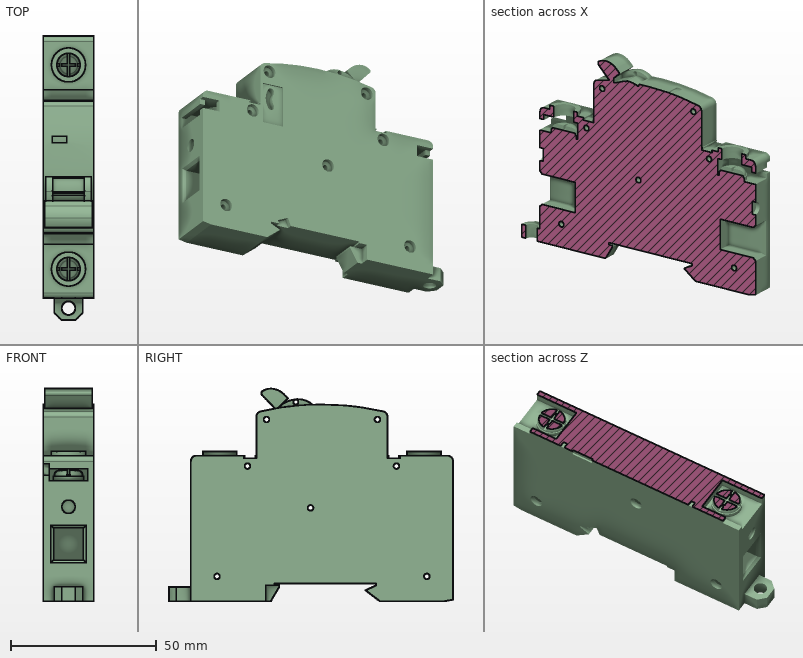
import cadquery as cq
import math


WIDTH = 17.5
TOTAL_LENGTH = 97.5
BODY_LENGTH = 90.0
SHOULDER_HEIGHT = 50.0
DOME_WIDTH = 45.0
CROWN_HEIGHT = 67.6
DOME_EDGE_HEIGHT = 64.8
CORNER_RADIUS = 1.95
GROOVE_WIDTH = 4.3
GROOVE_DEPTH = 0.9
GROOVE_LIP = 0.4
HALF_WIDTH = WIDTH / 2
HALF_LENGTH = BODY_LENGTH / 2
HALF_DOME = DOME_WIDTH / 2

RAIL_CEILING = 6.1
RAIL_BACK = 18.5
RAIL_FRONT = -16.2
LEDGE_HEIGHT = 5.6
CLIP_RECESS_END = -19.2
HOOK_FOOT = 19.9
HOOK_TIP = 14.9
HOOK_TIP_HEIGHT = 3.8
HEEL_LENGTH = 3.1
HEEL_RISE = 0.6

CLIP_WIDTH = 9.8
CLIP_NOSE = -14.6
CLIP_NOSE_HEIGHT = 5.0
CLIP_FOOT = -17.55
TAB_HEIGHT = 5.0
TAB_CHAMFER = 2.5
TAB_HOLE_DIAMETER = 4.6
TAB_HOLE_OFFSET = 3.4

TERMINAL_OFFSET = 35.0
COLLAR_DIAMETER = 11.7
COLLAR_HEIGHT = 1.5
ACCESS_DIAMETER = 8.0
WINDOW_WIDTH = 13.4
WINDOW_BOTTOM = 41.4
WINDOW_TOP = 45.4
END_WALL = 1.9
CHAMBER_TOP = 47.3
CHAMBER_END = 29.25
NOTCH_LENGTH = 6.3
NOTCH_BOTTOM = 43.2
TEST_HOLE_DIAMETER = 4.6
TEST_HOLE_HEIGHT = 32.5
TEST_HOLE_DEPTH = 1.5
WIRE_MOUTH_WIDTH = 12.2
WIRE_MOUTH_HEIGHT = 13.0
WIRE_MOUTH_CENTRE = 19.7
WIRE_MOUTH_TAPER = 1.0
WIRE_DEPTH = 14.6

SCREW_FLANGE_DIAMETER = 10.5
SCREW_FLANGE_HEIGHT = 1.5
SCREW_HEAD_DIAMETER = 9.9
SCREW_HEAD_HEIGHT = 2.0
SCREW_ROUNDING = 1.95
DRIVE_WIDTH = 0.9
DRIVE_DEPTH = 1.5
CROSS_LENGTH = 4.6
RIM_NOTCH_LENGTH = 1.95

RIVET_POINTS = [
    (19.0, 62.4),
    (-19.0, 62.4),
    (25.5, 46.4),
    (-25.5, 46.4),
    (-3.9, 32.1),
    (36.0, 8.6),
    (-36.0, 8.6),
]
RIVET_DIAMETER = 1.9
RIVET_RECESS_DIAMETER = 4.6
RIVET_RECESS_DEPTH = 1.95

PANEL_BACK = 21.5
PANEL_WIDTH = 7.8
PANEL_BOTTOM = 42.9
PANEL_HEIGHT = 14.7
PANEL_DEPTH = 0.6
SLOT_CENTRE_Z = 52.5
SLOT_ARC_Y = 13.7
SLOT_ARC_RADIUS = 5.2
SLOT_WIDTH = 2.5
SLOT_HALF_ANGLE = 32
SLOT_DEPTH = 2.9

POCKET_OUTLINE = [(10.5, 5.85), (11.8, 9.0), (15.7, 7.3), (15.1, 5.85)]
POCKET_DEPTH = 1.95

INDICATOR_X = -3.1
INDICATOR_Y = 9.5
INDICATOR_WIDTH = 4.9
INDICATOR_LENGTH = 2.1
INDICATOR_FLOOR = 66.8

DRUM_Y = -8.4
DRUM_TOP = 69.4
DRUM_BACK = -1.5
DRUM_FRONT = -15.8
DRUM_BASE = 64.9
DRUM_WIDTH = 15.7
HUB_WIDTH = 10.9
HUB_TOP = 67.7
HUB_STEP_Y = -9.1
HUB_STEP_Z = 67.3
HUB_FRONT = -14.1
PIN_Y = -9.0
PIN_Z = 68.3
PIN_DIAMETER = 1.7
LEVER_WIDTH = 16.4
LEVER_TOP = 73.0
LEVER_FOOT = 66.0


def side_sketch(x=0):
    """Workplane whose axes are Y and Z, at the given X."""
    return cq.Workplane("YZ", origin=(x, 0, 0))


def block(x_range, y_range, z_range):
    """Box between two limits on each axis."""
    sizes = [high - low for low, high in (x_range, y_range, z_range)]
    corner = (x_range[0], y_range[0], z_range[0])
    return cq.Workplane("XY", origin=corner).box(*sizes, centered=False)


def centred_prism(outline, width):
    """Prism along X from a (Y, Z) outline, centred on X = 0."""
    return side_sketch().polyline(outline).close().extrude(width / 2, both=True)


def centred_cylinder(y, z, radius, width):
    """Cylinder along X, centred on X = 0."""
    return side_sketch().center(y, z).circle(radius).extrude(width / 2, both=True)


def make_housing():
    profile = (
        side_sketch()
        .moveTo(-HALF_LENGTH, 0)
        .lineTo(-HALF_LENGTH, SHOULDER_HEIGHT)
        .lineTo(-HALF_DOME, SHOULDER_HEIGHT)
        .lineTo(-HALF_DOME, DOME_EDGE_HEIGHT)
        .threePointArc((0, CROWN_HEIGHT), (HALF_DOME, DOME_EDGE_HEIGHT))
        .lineTo(HALF_DOME, SHOULDER_HEIGHT)
        .lineTo(HALF_LENGTH, SHOULDER_HEIGHT)
        .lineTo(HALF_LENGTH, HEEL_RISE)
        .lineTo(HALF_LENGTH - HEEL_LENGTH, 0)
        .lineTo(HOOK_FOOT, 0)
        .lineTo(HOOK_TIP, HOOK_TIP_HEIGHT)
        .lineTo(RAIL_BACK, LEDGE_HEIGHT)
        .lineTo(RAIL_BACK, RAIL_CEILING)
        .lineTo(RAIL_FRONT, RAIL_CEILING)
        .lineTo(RAIL_FRONT, LEDGE_HEIGHT)
        .lineTo(CLIP_RECESS_END, LEDGE_HEIGHT)
        .lineTo(CLIP_RECESS_END, 0)
        .close()
    )
    housing = profile.extrude(HALF_WIDTH, both=True)
    for side in (-1, 1):
        for y, z in ((HALF_LENGTH, SHOULDER_HEIGHT), (HALF_DOME, DOME_EDGE_HEIGHT)):
            corner = cq.selectors.NearestToPointSelector((0, side * y, z))
            housing = housing.edges(corner).fillet(CORNER_RADIUS)
    return housing


def make_dome_groove():
    """Groove across the +Y shoulder at the foot of the dome, narrowed by a lip on each side."""
    floor = SHOULDER_HEIGHT - GROOVE_DEPTH
    groove_end = HALF_DOME + GROOVE_WIDTH
    x_range = (-HALF_WIDTH, HALF_WIDTH)
    wide = block(x_range, (HALF_DOME, groove_end), (floor, SHOULDER_HEIGHT - GROOVE_LIP))
    mouth_range = (HALF_DOME + GROOVE_LIP, groove_end - GROOVE_LIP)
    mouth = block(x_range, mouth_range, (floor, SHOULDER_HEIGHT))
    return wide.union(mouth)


def make_clip():
    nose = centred_prism(
        [
            (CLIP_RECESS_END, 0),
            (CLIP_FOOT, 0),
            (CLIP_NOSE, CLIP_NOSE_HEIGHT),
            (CLIP_NOSE, LEDGE_HEIGHT),
            (CLIP_RECESS_END, LEDGE_HEIGHT),
        ],
        CLIP_WIDTH,
    )
    tab_end = HALF_LENGTH - TOTAL_LENGTH
    tab = (
        block((-CLIP_WIDTH / 2, CLIP_WIDTH / 2), (tab_end, -HALF_LENGTH), (0, TAB_HEIGHT))
        .edges("|Z and <Y")
        .chamfer(TAB_CHAMFER)
    )
    tab_hole = (
        cq.Workplane("XY")
        .center(0, -HALF_LENGTH - TAB_HOLE_OFFSET)
        .circle(TAB_HOLE_DIAMETER / 2)
        .extrude(TAB_HEIGHT)
    )
    return nose.union(tab.cut(tab_hole))


def make_screw():
    """Terminal screw on the chamber floor, with a long slot, a short cross slot and rim notches."""
    head = (
        cq.Workplane("XY", origin=(0, -TERMINAL_OFFSET, WINDOW_BOTTOM))
        .circle(SCREW_FLANGE_DIAMETER / 2)
        .extrude(SCREW_FLANGE_HEIGHT)
        .faces(">Z")
        .workplane()
        .circle(SCREW_HEAD_DIAMETER / 2)
        .extrude(SCREW_HEAD_HEIGHT)
        .faces(">Z")
        .edges()
        .fillet(SCREW_ROUNDING)
    )
    head_top = cq.Workplane(
        "XY", origin=(0, -TERMINAL_OFFSET, WINDOW_BOTTOM + SCREW_FLANGE_HEIGHT + SCREW_HEAD_HEIGHT)
    )
    slot = head_top.rect(DRIVE_WIDTH, SCREW_HEAD_DIAMETER).extrude(-DRIVE_DEPTH)
    cross = head_top.rect(CROSS_LENGTH, DRIVE_WIDTH).extrude(-DRIVE_DEPTH)
    rim_notches = (
        head_top.pushPoints([(-SCREW_HEAD_DIAMETER / 2, 0), (SCREW_HEAD_DIAMETER / 2, 0)])
        .rect(2 * RIM_NOTCH_LENGTH, DRIVE_WIDTH)
        .extrude(-DRIVE_DEPTH)
    )
    return head.cut(slot).cut(cross).cut(rim_notches)


def make_collar():
    return (
        cq.Workplane("XY", origin=(0, -TERMINAL_OFFSET, SHOULDER_HEIGHT))
        .circle(COLLAR_DIAMETER / 2)
        .extrude(COLLAR_HEIGHT)
    )


def make_terminal_cavities():
    """Everything removed from the -Y end of the housing for its terminal."""
    half_window = WINDOW_WIDTH / 2
    window_range = (-half_window, half_window)
    window = block(window_range, (-HALF_LENGTH, -CHAMBER_END), (WINDOW_BOTTOM, WINDOW_TOP))
    chamber = block(
        window_range, (-HALF_LENGTH + END_WALL, -CHAMBER_END), (WINDOW_BOTTOM, CHAMBER_TOP)
    )
    notch = block(
        (-HALF_WIDTH, -half_window),
        (-HALF_LENGTH, -HALF_LENGTH + NOTCH_LENGTH),
        (NOTCH_BOTTOM, CHAMBER_TOP),
    )
    access = (
        cq.Workplane("XY", origin=(0, -TERMINAL_OFFSET, WINDOW_TOP))
        .circle(ACCESS_DIAMETER / 2)
        .extrude(SHOULDER_HEIGHT + COLLAR_HEIGHT - WINDOW_TOP)
    )
    end_face = cq.Workplane("XZ", origin=(0, -HALF_LENGTH, 0))
    test_hole = (
        end_face.center(0, TEST_HOLE_HEIGHT)
        .circle(TEST_HOLE_DIAMETER / 2)
        .extrude(-TEST_HOLE_DEPTH)
    )
    wire_centre = end_face.center(0, WIRE_MOUTH_CENTRE)
    inner_width = WIRE_MOUTH_WIDTH - 2 * WIRE_MOUTH_TAPER
    inner_height = WIRE_MOUTH_HEIGHT - 2 * WIRE_MOUTH_TAPER
    mouth = (
        wire_centre.rect(WIRE_MOUTH_WIDTH, WIRE_MOUTH_HEIGHT)
        .workplane(offset=-WIRE_MOUTH_TAPER)
        .rect(inner_width, inner_height)
        .loft()
    )
    wire_hole = wire_centre.rect(inner_width, inner_height).extrude(-WIRE_DEPTH)
    cavities = window
    for cavity in (chamber, notch, access, test_hole, mouth, wire_hole):
        cavities = cavities.union(cavity)
    return cavities


def add_terminals(body):
    """Fit the same terminal to the -Y end and, mirrored, to the +Y end."""
    parts = (make_collar(), make_terminal_cavities(), make_screw())
    mirrored = tuple(part.mirror("XZ") for part in parts)
    for collar, cavities, screw in (parts, mirrored):
        body = body.union(collar).cut(cavities).union(screw)
    return body


def cut_rivet_holes(body):
    holes = side_sketch(-HALF_WIDTH).pushPoints(RIVET_POINTS)
    recesses = holes.circle(RIVET_RECESS_DIAMETER / 2).extrude(RIVET_RECESS_DEPTH)
    bores = holes.circle(RIVET_DIAMETER / 2).extrude(WIDTH)
    return body.cut(recesses).cut(bores)


def make_curved_slot():
    """Slot along a circular arc that bulges toward +Y, with round ends."""
    angle = math.radians(SLOT_HALF_ANGLE)

    def arc_point(radius, turn):
        return (SLOT_ARC_Y + radius * math.cos(turn), SLOT_CENTRE_Z + radius * math.sin(turn))

    outer = SLOT_ARC_RADIUS + SLOT_WIDTH / 2
    inner = SLOT_ARC_RADIUS - SLOT_WIDTH / 2
    cap_reach = SLOT_WIDTH / 2
    top_y, top_z = arc_point(SLOT_ARC_RADIUS, angle)
    cap_y = top_y - cap_reach * math.sin(angle)
    cap_rise = top_z - SLOT_CENTRE_Z + cap_reach * math.cos(angle)
    return (
        side_sketch(-HALF_WIDTH)
        .moveTo(*arc_point(outer, -angle))
        .threePointArc(arc_point(outer, 0), arc_point(outer, angle))
        .threePointArc((cap_y, SLOT_CENTRE_Z + cap_rise), arc_point(inner, angle))
        .threePointArc(arc_point(inner, 0), arc_point(inner, -angle))
        .threePointArc((cap_y, SLOT_CENTRE_Z - cap_rise), arc_point(outer, -angle))
        .close()
        .extrude(SLOT_DEPTH)
    )


def cut_side_details(body):
    panel = block(
        (-HALF_WIDTH, -HALF_WIDTH + PANEL_DEPTH),
        (PANEL_BACK - PANEL_WIDTH, PANEL_BACK),
        (PANEL_BOTTOM, PANEL_BOTTOM + PANEL_HEIGHT),
    )
    pocket = side_sketch(-HALF_WIDTH).polyline(POCKET_OUTLINE).close().extrude(POCKET_DEPTH)
    return body.cut(panel).cut(make_curved_slot()).cut(pocket)


def cut_indicator(body):
    indicator = (
        cq.Workplane("XY", origin=(INDICATOR_X, INDICATOR_Y, INDICATOR_FLOOR))
        .rect(INDICATOR_WIDTH, INDICATOR_LENGTH)
        .extrude(CROWN_HEIGHT - INDICATOR_FLOOR)
    )
    return body.cut(indicator)


def make_drum():
    """Part of the toggle drum that rises through the dome; its front half is flatter."""
    profile = (
        side_sketch()
        .moveTo(DRUM_BACK, DRUM_BASE)
        .threePointArc((-4.0, 68.1), (DRUM_Y, DRUM_TOP))
        .threePointArc((-12.3, 68.4), (DRUM_FRONT, 66.1))
        .lineTo(DRUM_FRONT, DRUM_BASE)
        .close()
    )
    return profile.extrude(DRUM_WIDTH / 2, both=True)


def make_lever():
    """Lever leaning toward -Y, rounded over its top and its finger edge."""
    profile = (
        side_sketch()
        .moveTo(-11.6, 69.6)
        .lineTo(-13.3, 71.3)
        .threePointArc((-15.2, 72.5), (-17.5, LEVER_TOP))
        .threePointArc((-18.9, 72.8), (-20.3, 72.2))
        .threePointArc((-20.8, 71.6), (-20.6, 70.8))
        .lineTo(-16.0, LEVER_FOOT)
        .lineTo(-15.4, LEVER_FOOT)
        .close()
    )
    return profile.extrude(LEVER_WIDTH / 2, both=True)


def make_hub_recess():
    """Space above the sunken hub, which has a small step in front of its top."""
    profile = (
        side_sketch()
        .moveTo(-3.1, LEVER_TOP)
        .lineTo(-3.8, 66.6)
        .threePointArc((-6.0, 67.4), (HUB_STEP_Y, HUB_TOP))
        .lineTo(HUB_STEP_Y, HUB_STEP_Z)
        .lineTo(-9.75, HUB_STEP_Z)
        .lineTo(HUB_FRONT, 65.6)
        .lineTo(HUB_FRONT, LEVER_TOP)
        .close()
    )
    return profile.extrude(HUB_WIDTH / 2, both=True)


def add_toggle(body):
    """Drum with a sunken hub between its cheeks, a pin hole through the cheeks, and the lever."""
    pin_hole = centred_cylinder(PIN_Y, PIN_Z, PIN_DIAMETER / 2, DRUM_WIDTH)
    body = body.union(make_drum()).cut(make_hub_recess())
    return body.cut(pin_hole).union(make_lever())


groove = make_dome_groove()
body = make_housing().cut(groove).cut(groove.mirror("XZ")).union(make_clip())
body = add_terminals(body)
body = cut_rivet_holes(body)
body = cut_side_details(body)
body = cut_indicator(body)
result = add_toggle(body)